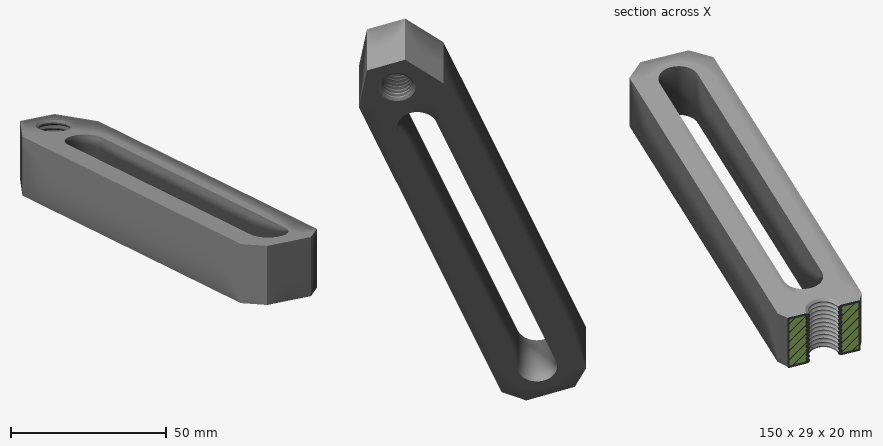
import cadquery as cq
import math

length = 150.0
width = 29.0
height = 20.0

nose_width = 13.0
nose_angle = math.radians(30)
corner_cut = 6.2

slot_width = 13.0
slot_start = 21.9
slot_end = 144.0

hole_x = 10.0
thread_major = 11.8
thread_minor = 10.0
thread_pitch = 1.6
crest_share = 0.25
root_share = 0.12
mouth_depth = 0.6


def make_bar():
    nose_length = (width - nose_width) / 2 / math.tan(nose_angle)
    upper_side = [
        (0, nose_width / 2),
        (nose_length, width / 2),
        (length - corner_cut, width / 2),
        (length, width / 2 - corner_cut),
    ]
    lower_side = [(x, -y) for x, y in reversed(upper_side)]
    return cq.Workplane("XY").polyline(upper_side + lower_side).close().extrude(height)


def make_slot():
    return (
        cq.Workplane("XY")
        .center((slot_start + slot_end) / 2, 0)
        .slot2D(slot_end - slot_start, slot_width)
        .extrude(height)
    )


def make_threaded_hole():
    """Bore with a countersink at each mouth and ring grooves of thread form, as one solid."""
    major_radius = thread_major / 2
    minor_radius = thread_minor / 2
    crest = crest_share * thread_pitch
    root = root_share * thread_pitch
    flank = (thread_pitch - crest - root) / 2

    groove_count = math.floor((height - 2 * mouth_depth - crest) / thread_pitch)
    first_groove = (height - groove_count * thread_pitch + crest) / 2

    profile = [(0, 0), (major_radius, 0), (minor_radius, mouth_depth)]
    for index in range(groove_count):
        bottom = first_groove + index * thread_pitch
        profile += [
            (minor_radius, bottom),
            (major_radius, bottom + flank),
            (major_radius, bottom + flank + root),
            (minor_radius, bottom + 2 * flank + root),
        ]
    profile += [(minor_radius, height - mouth_depth), (major_radius, height), (0, height)]

    cutter = cq.Workplane("XZ").polyline(profile).close().revolve(360, (0, 0, 0), (0, 1, 0))
    return cutter.translate((hole_x, 0, 0))


result = make_bar().cut(make_slot()).cut(make_threaded_hole())